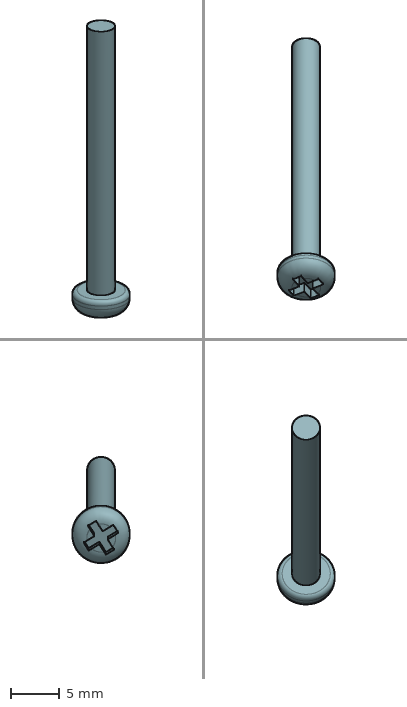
import cadquery as cq

shank_diameter = 2.926
shank_length = 30.0
head_diameter = 6.0
head_height = 2.4
collar_fillet = 0.5
band_height = 0.4
crown_radius = head_height - collar_fillet - band_height

slot_width = 1.0
slot_length = 3.6
recess_depth = 1.2


def make_head():
    """Disc from z = 0 to head_height, rounded on both rims."""
    head = cq.Workplane("XY").circle(head_diameter / 2).extrude(head_height)
    head = head.faces(">Z").edges().fillet(collar_fillet)
    return head.faces("<Z").edges().fillet(crown_radius)


def make_shank():
    """Plain cylinder standing on the flat of the head."""
    base = cq.Workplane("XY").workplane(offset=head_height)
    return base.circle(shank_diameter / 2).extrude(shank_length)


def make_cross_recess():
    """Two crossed slots cut upward from the crown."""
    slot_along_x = cq.Workplane("XY").rect(slot_length, slot_width).extrude(recess_depth)
    slot_along_y = cq.Workplane("XY").rect(slot_width, slot_length).extrude(recess_depth)
    return slot_along_x.union(slot_along_y)


result = make_head().union(make_shank()).cut(make_cross_recess())